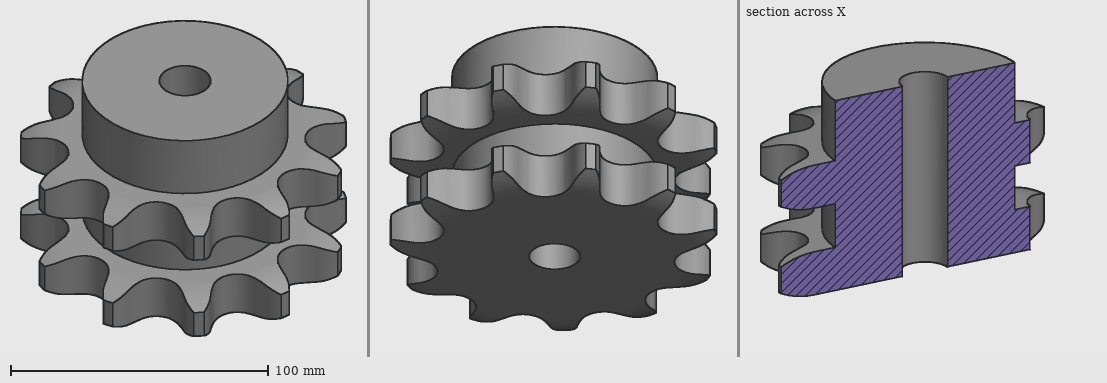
import cadquery as cq
import math

TEETH = 11
CHAIN_PITCH = 31.8
ROLLER_DIAMETER = 19.0
TIP_RADIUS = 63.9
TOOTH_WIDTH = 18.3
ROW_SPACING = 36.5
ROWS = 2
RELIEF_RADIUS = CHAIN_PITCH
RELIEF_START_RADIUS = 49.4
HUB_DIAMETER = 80.0
HUB_HEIGHT = 80.0
BORE_DIAMETER = 20.0

HALF_STEP = math.pi / TEETH
PITCH_RADIUS = CHAIN_PITCH / (2 * math.sin(HALF_STEP))
SEAT_RADIUS = 0.505 * ROLLER_DIAMETER
SEAT_ANGLE = math.radians(35 + 60 / TEETH)
FLANK_ANGLE = math.radians(18 - 56 / TEETH)
FLANK_OFFSET = 0.8 * ROLLER_DIAMETER
FLANK_RADIUS = FLANK_OFFSET + SEAT_RADIUS
TIP_OFFSET = 1.4 * ROLLER_DIAMETER


def polar(center, radius, angle):
    return (center[0] + radius * math.cos(angle), center[1] + radius * math.sin(angle))


def rotated(point, angle):
    x, y = point
    return (x * math.cos(angle) - y * math.sin(angle), x * math.sin(angle) + y * math.cos(angle))


def mirrored(point):
    return (-point[0], point[1])


def gap_half_points():
    """Right half of a tooth gap centred on +Y, listed from the gap bottom to the tooth tip."""
    roller = (0, PITCH_RADIUS)
    bottom = (0, PITCH_RADIUS - SEAT_RADIUS)
    seat_end = polar(roller, SEAT_RADIUS, -SEAT_ANGLE)

    flank_center = polar(roller, FLANK_OFFSET, math.pi - SEAT_ANGLE)
    flank_middle = polar(flank_center, FLANK_RADIUS, -SEAT_ANGLE + FLANK_ANGLE / 2)
    normal_angle = FLANK_ANGLE - SEAT_ANGLE
    flank_end = polar(flank_center, FLANK_RADIUS, normal_angle)

    tip_center = polar(roller, TIP_OFFSET, -HALF_STEP)
    to_center = (tip_center[0] - flank_end[0], tip_center[1] - flank_end[1])
    tip_arc_radius = to_center[0] * math.cos(normal_angle) + to_center[1] * math.sin(normal_angle)
    start_direction = normal_angle + math.pi
    tip_arc_start = polar(tip_center, tip_arc_radius, start_direction)

    center_distance = math.hypot(*tip_center)
    cosine_top = center_distance**2 + TIP_RADIUS**2 - tip_arc_radius**2
    cos_at_axis = cosine_top / (2 * center_distance * TIP_RADIUS)
    end_angle = math.atan2(tip_center[1], tip_center[0]) + math.acos(cos_at_axis)
    tip_arc_end = polar((0, 0), TIP_RADIUS, end_angle)
    end_direction = math.atan2(tip_arc_end[1] - tip_center[1], tip_arc_end[0] - tip_center[0])
    tip_arc_middle = polar(tip_center, tip_arc_radius, (start_direction + end_direction) / 2)
    return bottom, seat_end, flank_middle, flank_end, tip_arc_start, tip_arc_middle, tip_arc_end


def tooth_outline():
    """Closed outline of the sprocket row, stepping clockwise from a gap centred on +Y."""
    right_side = gap_half_points()
    left_side = [mirrored(point) for point in reversed(right_side)]
    tip_middle = polar((0, 0), TIP_RADIUS, math.pi / 2 - HALF_STEP)

    outline = cq.Workplane("XY").moveTo(*left_side[0])
    for index in range(TEETH):
        turn = -2 * HALF_STEP * index
        left_tip, left_tip_mid, left_line_top, left_line_end, left_flank_mid, left_seat, bottom = [
            rotated(point, turn) for point in left_side
        ]
        right_seat, right_flank_mid, right_line_end, right_line_top, right_tip_mid, right_tip = [
            rotated(point, turn) for point in right_side[1:]
        ]
        outline = (
            outline.threePointArc(left_tip_mid, left_line_top)
            .lineTo(*left_line_end)
            .threePointArc(left_flank_mid, left_seat)
            .threePointArc(bottom, right_seat)
            .threePointArc(right_flank_mid, right_line_end)
            .lineTo(*right_line_top)
            .threePointArc(right_tip_mid, right_tip)
            .threePointArc(rotated(tip_middle, turn), rotated(left_side[0], turn - 2 * HALF_STEP))
        )
    return outline.close()


def relief_drop(radius):
    """Axial distance the rounded tooth side has fallen away at a given radius."""
    run = radius - RELIEF_START_RADIUS
    return RELIEF_RADIUS - math.sqrt(RELIEF_RADIUS**2 - run**2)


def relief_blank():
    """Disc with both rims rounded, which trims the tooth sides."""
    middle_radius = (RELIEF_START_RADIUS + TIP_RADIUS) / 2
    middle_drop = relief_drop(middle_radius)
    tip_drop = relief_drop(TIP_RADIUS)
    return (
        cq.Workplane("XZ")
        .lineTo(RELIEF_START_RADIUS, 0)
        .threePointArc((middle_radius, middle_drop), (TIP_RADIUS, tip_drop))
        .lineTo(TIP_RADIUS, TOOTH_WIDTH - tip_drop)
        .threePointArc((middle_radius, TOOTH_WIDTH - middle_drop), (RELIEF_START_RADIUS, TOOTH_WIDTH))
        .lineTo(0, TOOTH_WIDTH)
        .close()
        .revolve(360, (0, 0, 0), (0, 1, 0))
    )


def sprocket_row():
    """One toothed row standing on Z = 0, with a tooth pointing along -Y."""
    first_gap_turn = 180 - math.degrees(HALF_STEP)
    teeth = tooth_outline().extrude(TOOTH_WIDTH).rotate((0, 0, 0), (0, 0, 1), first_gap_turn)
    return teeth.intersect(relief_blank())


result = cq.Workplane("XY").circle(HUB_DIAMETER / 2).extrude(HUB_HEIGHT)
row = sprocket_row()
for row_index in range(ROWS):
    result = result.union(row.translate((0, 0, row_index * ROW_SPACING)))

bore = cq.Workplane("XY").circle(BORE_DIAMETER / 2).extrude(HUB_HEIGHT)
result = result.cut(bore)